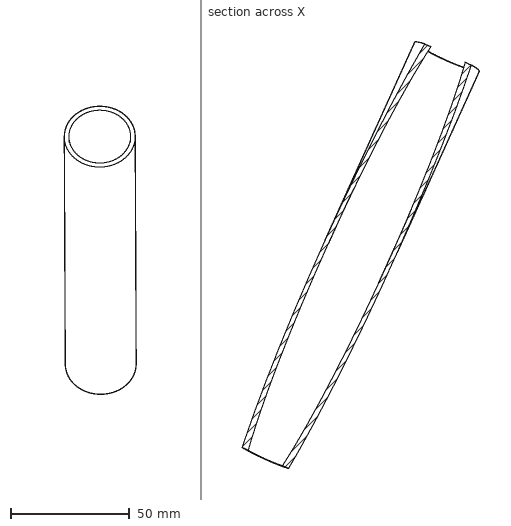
import cadquery as cq

outer_diameter = 30.0
wall_thickness = 2.0
length = 185.3

lean_x = 20.5
lean_y = -76.0
rise_z = (length**2 - lean_x**2 - lean_y**2) ** 0.5

axis = cq.Vector(lean_x, lean_y, rise_z)
lower_end = cq.Plane(
    origin=(-lean_x / 2, -lean_y / 2, -rise_z / 2),
    normal=axis.toTuple(),
)

outer_radius = outer_diameter / 2
inner_radius = outer_radius - wall_thickness

result = (
    cq.Workplane(lower_end)
    .circle(outer_radius)
    .circle(inner_radius)
    .extrude(length)
)